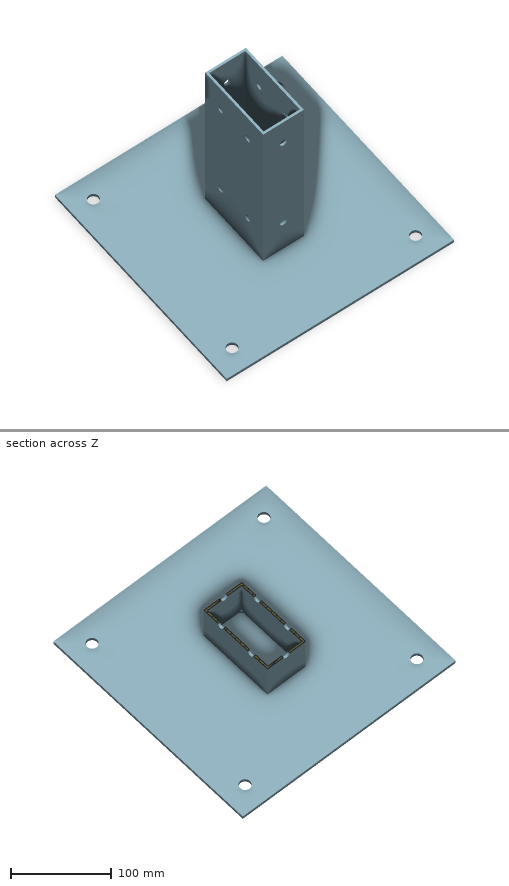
import cadquery as cq

plate_side = 285.0
plate_thickness = 4.0
anchor_hole_diameter = 13.0
anchor_hole_spacing = 230.0

total_height = 219.0
tube_length = 96.0
tube_width = 51.0
wall = 2.8
tube_height = total_height - plate_thickness
bore_length = tube_length - 2 * wall
bore_width = tube_width - 2 * wall

weld_radius = 2.8

front_hole_diameter = 8.3
side_hole_diameter = 8.5
front_hole_spacing = 45.0
upper_hole_depth = 35.0
hole_row_spacing = 135.0
upper_hole_z = total_height - upper_hole_depth
hole_rows = (upper_hole_z - hole_row_spacing, upper_hole_z)


def make_plate():
    """Square plate, bottom at Z = 0, with an anchor hole near each corner."""
    return (
        cq.Workplane("XY")
        .rect(plate_side, plate_side)
        .extrude(plate_thickness)
        .faces(">Z")
        .workplane()
        .rect(anchor_hole_spacing, anchor_hole_spacing, forConstruction=True)
        .vertices()
        .hole(anchor_hole_diameter)
    )


def upright_block(length, width):
    """Solid block from the plate's top face up to the tube's top."""
    return (
        cq.Workplane("XY")
        .workplane(offset=plate_thickness)
        .rect(length, width)
        .extrude(tube_height)
    )


def corner_welds(bore):
    """Eighth-spheres where the bore corners meet the plate."""
    bead = cq.Workplane("XY").sphere(weld_radius).val()
    spots = (
        cq.Workplane("XY")
        .workplane(offset=plate_thickness)
        .rect(bore_length, bore_width, forConstruction=True)
        .vertices()
        .eachpoint(lambda place: bead.moved(place))
    )
    return spots.intersect(bore)


def cross_holes(plane, points, diameter, length):
    """Cylinders centred on the plane, long enough to pierce both walls."""
    return (
        cq.Workplane(plane)
        .pushPoints(points)
        .circle(diameter / 2)
        .extrude(length, both=True)
    )


front_points = [(side * front_hole_spacing / 2, z) for side in (-1, 1) for z in hole_rows]
side_points = [(0, z) for z in hole_rows]

bore = upright_block(bore_length, bore_width)
tube = (
    upright_block(tube_length, tube_width)
    .cut(bore)
    .cut(cross_holes("XZ", front_points, front_hole_diameter, tube_width))
    .cut(cross_holes("YZ", side_points, side_hole_diameter, tube_length))
)

result = make_plate().union(tube).union(corner_welds(bore))